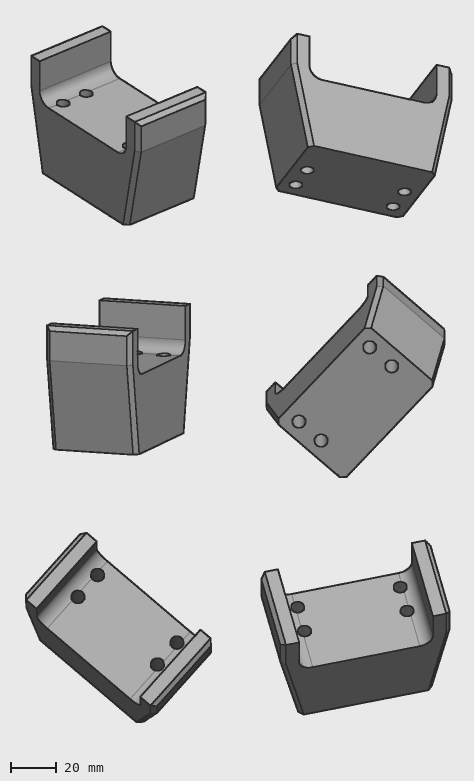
import cadquery as cq

width = 76.0
depth = 40.0
height = 56.0
base_width = 60.05
knee_height = 41.0

channel_width = base_width
floor_height = 35.0
channel_radius = 6.0

edge_chamfer = 2.05

hole_diameter = 5.8
hole_spacing_x = 46.0
hole_rows_y = (0.5, -12.5)


def tapered_block():
    """Body that widens from its base to the knee, with chamfered side edges."""
    outline = [
        (-base_width / 2, 0),
        (base_width / 2, 0),
        (width / 2, knee_height),
        (width / 2, height),
        (-width / 2, height),
        (-width / 2, knee_height),
    ]
    block = cq.Workplane("XZ").polyline(outline).close().extrude(depth / 2, both=True)

    upright_edges = block.edges("|Z")
    sloping_edges = block.faces("|Y").edges("not(|X or |Z)")
    top_side_edges = block.faces(">Z").edges("|Y")
    side_edges = upright_edges.add(sloping_edges).add(top_side_edges)
    return side_edges.chamfer(edge_chamfer)


def channel():
    """Cutter for the open-topped channel with rounded floor corners."""
    return (
        cq.Workplane("XY", origin=(0, 0, floor_height))
        .rect(channel_width, depth)
        .extrude(height - floor_height)
        .edges("|Y and <Z")
        .fillet(channel_radius)
    )


def holes():
    """Cutters for the four vertical through holes."""
    centres = [(side * hole_spacing_x / 2, y) for side in (-1, 1) for y in hole_rows_y]
    return cq.Workplane("XY").pushPoints(centres).circle(hole_diameter / 2).extrude(height)


result = tapered_block().cut(channel()).cut(holes())